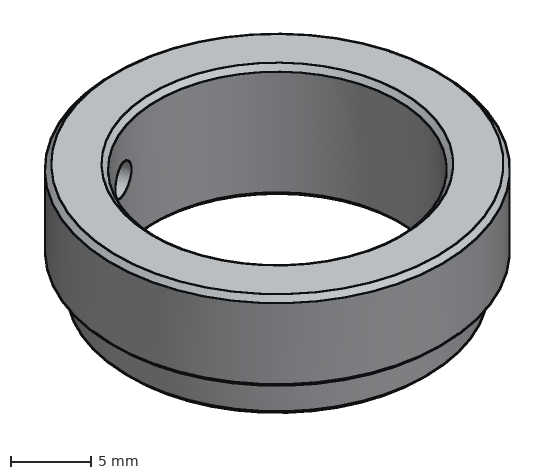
import cadquery as cq

outer_diameter = 29.0
spigot_diameter = 26.3
bore_diameter = 21.1
total_height = 10.0
spigot_height = 3.02
edge_chamfer = 0.4

radial_hole_diameter = 2.5
radial_hole_height = 5.8


def chamfered_disc(diameter, height, base_z, edges):
    """Disc standing on base_z with the selected rims chamfered."""
    disc = cq.Workplane("XY").workplane(offset=base_z).circle(diameter / 2).extrude(height)
    return disc.edges(edges).chamfer(edge_chamfer)


def bore_cutter():
    """Through bore with a countersunk mouth at both ends."""
    radius = bore_diameter / 2
    mouth_radius = radius + edge_chamfer
    half_section = (
        cq.Workplane("XZ")
        .moveTo(0, 0)
        .lineTo(mouth_radius, 0)
        .lineTo(radius, edge_chamfer)
        .lineTo(radius, total_height - edge_chamfer)
        .lineTo(mouth_radius, total_height)
        .lineTo(0, total_height)
        .close()
    )
    return half_section.revolve(360, (0, 0, 0), (0, 1, 0))


def radial_hole_cutter():
    """Cylinder from the ring axis out through the -X wall."""
    return (
        cq.Workplane("YZ")
        .center(0, radial_hole_height)
        .circle(radial_hole_diameter / 2)
        .extrude(-outer_diameter / 2)
    )


spigot = chamfered_disc(spigot_diameter, total_height - edge_chamfer, 0, "<Z")
collar = chamfered_disc(outer_diameter, total_height - spigot_height, spigot_height, "<Z or >Z")

result = collar.union(spigot).cut(bore_cutter()).cut(radial_hole_cutter())